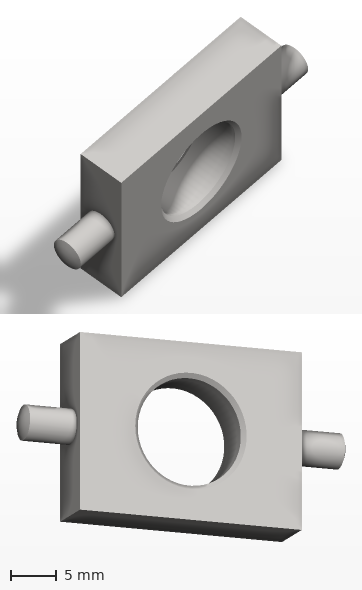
import cadquery as cq
import math

overall_length = 38.0
block_thickness = 6.0
block_length = 26.0
block_height = 20.0

pin_diameter = 4.0
pin_radius = pin_diameter / 2
dome_radius = pin_diameter

bore_diameter = 12.1
bore_chamfer = 0.5


def make_block():
    """Rectangular block with a bore along X, chamfered at both mouths."""
    block = cq.Workplane("XY").box(block_thickness, block_length, block_height)
    bored = block.faces("<X").workplane().hole(bore_diameter)
    return bored.faces("<X or >X").edges("%CIRCLE").chamfer(bore_chamfer)


def make_pins():
    """Two coaxial pins along Y, one on each end face, with shallow domed tips."""
    tip = overall_length / 2
    dome_height = dome_radius - math.sqrt(dome_radius**2 - pin_radius**2)
    shoulder = tip - dome_height
    dome_centre = tip - dome_radius
    mid_angle = math.asin(pin_radius / dome_radius) / 2
    mid_x = dome_radius * math.sin(mid_angle)
    mid_y = dome_centre + dome_radius * math.cos(mid_angle)
    root = block_length / 2
    pin = (
        cq.Workplane("XY")
        .moveTo(0, root)
        .lineTo(pin_radius, root)
        .lineTo(pin_radius, shoulder)
        .threePointArc((mid_x, mid_y), (0, tip))
        .close()
        .revolve(360, (0, 0, 0), (0, 1, 0))
    )
    return pin.union(pin.mirror("XZ"))


result = make_block().union(make_pins())